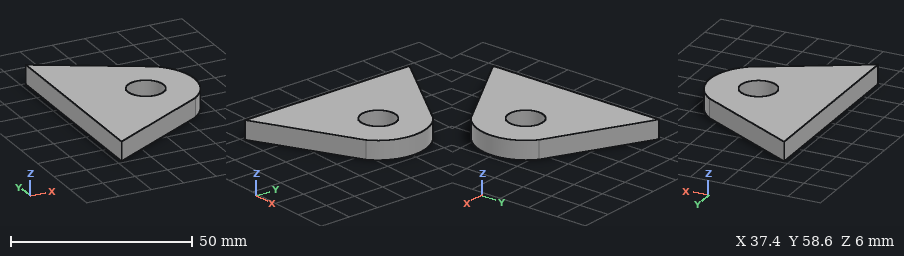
import cadquery as cq

base_width = 58.65
plate_length = 37.4
thickness = 6.0
shoulder_x = 31.55
shoulder_half_width = 12.0
hole_x = 22.35
hole_diameter = 11.0

half_base = base_width / 2

plate = (
    cq.Workplane("XY")
    .moveTo(0, -half_base)
    .lineTo(shoulder_x, -shoulder_half_width)
    .threePointArc((plate_length, 0), (shoulder_x, shoulder_half_width))
    .lineTo(0, half_base)
    .close()
    .extrude(thickness)
)

hole = (
    cq.Workplane("XY")
    .center(hole_x, 0)
    .circle(hole_diameter / 2)
    .extrude(thickness)
)

result = plate.cut(hole)